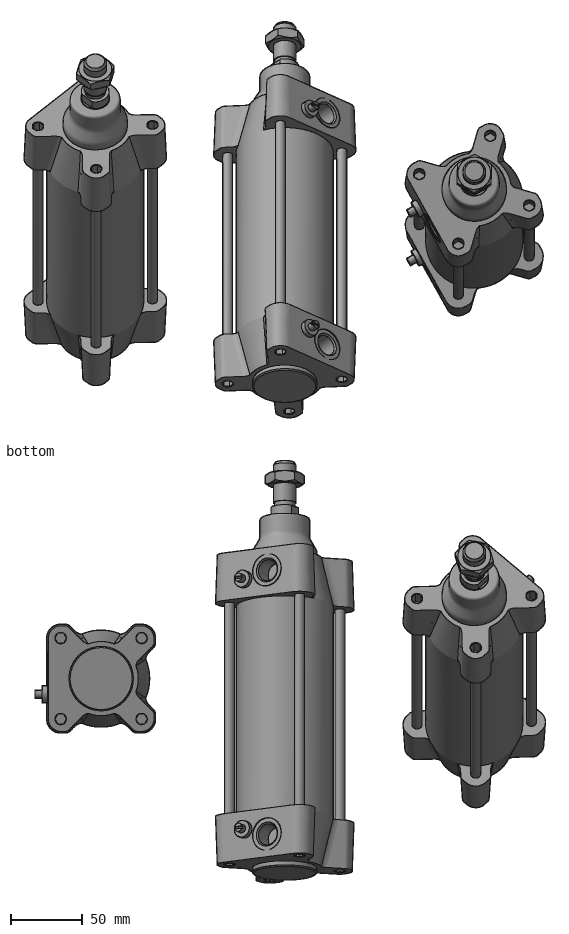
import cadquery as cq
import math

TOTAL_LENGTH = 294.0
TOTAL_DEPTH = 84.5

CAP_WIDTH = 76.0
CAP_HEIGHT = 34.5
CAP_DRAFT = 2.0
SPIGOT_HEIGHT = 3.8
SPIGOT_DIAMETER = 45.0
SPIGOT_CHAMFER = 1.0
HEAD_CAP_TOP = 225.2
TIE_ROD_PITCH = 56.5
TIE_ROD_DIAMETER = 7.0
SOCKET_FLATS = 7.0
SOCKET_DEPTH = 11.8
SOCKET_MOUTH_DIAMETER = 8.0
SOCKET_MOUTH_DEPTH = 0.5
BARREL_DIAMETER = 68.0

WALL_OFFSET = 15.0
BOSS_EDGE_RADIUS = 5.3
POCKET_ROOT = 19.0
POCKET_FLOOR_INNER = 31.2
POCKET_FLOOR_OUTER = 24.0
POCKET_FILLET = 7.4
CORE_RADIUS_OUTER = 26.0

PORT_Y = -7.0
PORT_HEIGHT = 18.2
PORT_DIAMETER = 15.0
PORT_MOUTH_DIAMETER = 17.0
PORT_DEPTH = 14.7
PORT_MOUTH_DEPTH = 1.2
SPOTFACE_DIAMETER = 23.0
SPOTFACE_X = -37.0
SCREW_Y = 11.0
SCREW_HEIGHT = 13.2
SCREW_DIAMETER = 6.0
SCREW_SLOT_WIDTH = 1.5
SCREW_SLOT_DEPTH = 1.5
FLANGE_DIAMETER = 12.0
FLANGE_X = -41.2

COLLAR_TOP = 230.5
BUSH_CONE_TOP = 239.3
BUSH_TOP = 254.0
BUSH_DIAMETER = 35.0
BUSH_BLEND_RADIUS = 5.0
BUSH_TOP_RADIUS = 1.8

ROD_DIAMETER = 20.0
ROD_END_DIAMETER = 19.5
ROD_FLATS = 16.8
ROD_FLATS_BOTTOM = 254.5
ROD_SHOULDER = 261.7
NECK_DIAMETER = 14.5
THREAD_START = 265.2
THREAD_DIAMETER = 16.0
TIP_DIAMETER = 13.2
TIP_CHAMFER_HEIGHT = 2.0

NUT_FLATS = 23.8
NUT_BOTTOM = 277.8
NUT_HEIGHT = 8.0
NUT_FACE_DIAMETER = 23.0
NUT_CHAMFER_ANGLE = 30.0

CAP_HALF = CAP_WIDTH / 2
SCREW_TIP_X = CAP_HALF - TOTAL_DEPTH
BOSS_CENTRE = TIE_ROD_PITCH / 2
BOSS_RADIUS = CAP_HALF - BOSS_CENTRE
REAR_CAP_INNER = SPIGOT_HEIGHT + CAP_HEIGHT
HEAD_CAP_INNER = HEAD_CAP_TOP - CAP_HEIGHT
BARREL_LENGTH = HEAD_CAP_INNER - REAR_CAP_INNER
COS_30 = math.cos(math.radians(30))
TIE_ROD_CENTRES = [(x, y) for x in (-BOSS_CENTRE, BOSS_CENTRE) for y in (-BOSS_CENTRE, BOSS_CENTRE)]


def disc(radius, z, height):
    """Cylinder on the Z axis."""
    return cq.Workplane("XY", origin=(0, 0, z)).circle(radius).extrude(height)


def side_disc(diameter, x, y, z, length):
    """Cylinder along +X starting at the given point."""
    return cq.Workplane("YZ", origin=(x, y, z)).circle(diameter / 2).extrude(length)


def cap_outline():
    """Inner face outline: four round bosses, 45 degree pockets on all sides but -X."""
    edge = CAP_HALF - WALL_OFFSET
    tangent = BOSS_EDGE_RADIUS * math.tan(math.radians(22.5))
    flat_end = edge + tangent
    wall_end = edge - tangent * math.sin(math.radians(45))
    wall_end_out = wall_end + WALL_OFFSET
    root = POCKET_ROOT - WALL_OFFSET

    def place(side, along, out):
        """Point on a side: side 0 faces -Y, and each next side is 90 degrees further."""
        turn = math.radians(90 * side)
        return (
            along * math.cos(turn) + out * math.sin(turn),
            along * math.sin(turn) - out * math.cos(turn),
        )

    outline = cq.Workplane("XY").moveTo(*place(0, -BOSS_CENTRE, CAP_HALF))
    for side in range(4):
        if side < 3:
            outline = (
                outline.lineTo(*place(side, -flat_end, CAP_HALF))
                .radiusArc(place(side, -wall_end, wall_end_out), -BOSS_EDGE_RADIUS)
                .lineTo(*place(side, -root, POCKET_ROOT))
                .lineTo(*place(side, root, POCKET_ROOT))
                .lineTo(*place(side, wall_end, wall_end_out))
                .radiusArc(place(side, flat_end, CAP_HALF), -BOSS_EDGE_RADIUS)
            )
        outline = outline.lineTo(*place(side, BOSS_CENTRE, CAP_HALF))
        outline = outline.radiusArc(place(side + 1, -BOSS_CENTRE, CAP_HALF), -BOSS_RADIUS)
    return outline.close()


def pocketed_block():
    """Drafted block with leaning flat pocket floors, filleted into the pocket walls."""
    floors = (
        cq.Workplane("XY")
        .rect(2 * POCKET_FLOOR_INNER, 2 * POCKET_FLOOR_INNER)
        .workplane(offset=CAP_HEIGHT)
        .rect(2 * POCKET_FLOOR_OUTER, 2 * POCKET_FLOOR_OUTER)
        .loft(ruled=True)
    )
    block = cap_outline().extrude(CAP_HEIGHT, taper=CAP_DRAFT).union(floors)

    wall_shift = CAP_HEIGHT * math.tan(math.radians(CAP_DRAFT)) / math.cos(math.radians(45))
    out = (POCKET_FLOOR_INNER + POCKET_FLOOR_OUTER) / 2
    along = out - WALL_OFFSET + wall_shift / 2
    corners = [(out, along), (out, -along), (along, out), (-along, out), (along, -out), (-along, -out)]
    corner_edges = [
        block.edges(cq.selectors.NearestToPointSelector((x, y, CAP_HEIGHT / 2))).val()
        for x, y in corners
    ]
    return block.newObject(corner_edges).fillet(POCKET_FILLET)


def cushion_screw():
    """Slotted screw with its sealing flange, pointing out of the -X side."""
    screw = side_disc(SCREW_DIAMETER, SCREW_TIP_X, SCREW_Y, SCREW_HEIGHT, -SCREW_TIP_X - BOSS_CENTRE)
    slot = cq.Workplane("XY").box(2 * SCREW_SLOT_DEPTH, SCREW_DIAMETER, SCREW_SLOT_WIDTH)
    slot = slot.translate((SCREW_TIP_X, SCREW_Y, SCREW_HEIGHT))
    flange = side_disc(FLANGE_DIAMETER, FLANGE_X, SCREW_Y, SCREW_HEIGHT, -FLANGE_X - BOSS_CENTRE)
    return screw.cut(slot).union(flange)


def hex_sockets():
    """Hexagon sockets in the outer face, each opened by a small countersink."""
    top = cq.Workplane("XY", origin=(0, 0, CAP_HEIGHT)).pushPoints(TIE_ROD_CENTRES)
    hexagons = top.polygon(6, SOCKET_FLATS / COS_30).extrude(-SOCKET_DEPTH)
    mouth = cq.Solid.makeCone(
        SOCKET_FLATS / 2,
        SOCKET_MOUTH_DIAMETER / 2,
        SOCKET_MOUTH_DEPTH,
        cq.Vector(0, 0, -SOCKET_MOUTH_DEPTH),
    )
    countersinks = top.eachpoint(mouth)
    return hexagons.union(countersinks)


def end_cap():
    """Cap with its inner face on Z = 0 and its outer face up."""
    core_cone = cq.Solid.makeCone(BARREL_DIAMETER / 2, CORE_RADIUS_OUTER, CAP_HEIGHT)
    cap = pocketed_block().union(cq.Workplane(core_cone))
    spotface = side_disc(SPOTFACE_DIAMETER, -CAP_HALF, PORT_Y, PORT_HEIGHT, SPOTFACE_X + CAP_HALF)
    mouth = cq.Solid.makeCone(
        PORT_MOUTH_DIAMETER / 2,
        PORT_DIAMETER / 2,
        PORT_MOUTH_DEPTH,
        cq.Vector(SPOTFACE_X, PORT_Y, PORT_HEIGHT),
        cq.Vector(1, 0, 0),
    )
    port = side_disc(PORT_DIAMETER, SPOTFACE_X, PORT_Y, PORT_HEIGHT, PORT_DEPTH)
    return cap.cut(hex_sockets()).union(cushion_screw()).cut(spotface).cut(cq.Workplane(mouth)).cut(port)


def rod_bush():
    """Collar, cone and bush around the rod, with the cone blended at both ends."""
    collar_radius = SPIGOT_DIAMETER / 2
    bush_radius = BUSH_DIAMETER / 2
    bush = (
        cq.Workplane("XZ")
        .polyline([
            (0, HEAD_CAP_TOP),
            (collar_radius, HEAD_CAP_TOP),
            (collar_radius, COLLAR_TOP),
            (bush_radius, BUSH_CONE_TOP),
            (bush_radius, BUSH_TOP),
            (0, BUSH_TOP),
        ])
        .close()
        .revolve(360, (0, 0, 0), (0, 1, 0))
    )
    cone_edges = cq.selectors.BoxSelector(
        (-collar_radius, -collar_radius, COLLAR_TOP - BUSH_TOP_RADIUS),
        (collar_radius, collar_radius, BUSH_CONE_TOP + BUSH_TOP_RADIUS),
    )
    bush = bush.edges("%CIRCLE").edges(cone_edges).fillet(BUSH_BLEND_RADIUS)
    return bush.faces(">Z").edges().fillet(BUSH_TOP_RADIUS)


def cylinder_housing():
    """Barrel, tie rods, both caps and the rod bush, bored for the piston rod."""
    cap = end_cap()
    head_cap = cap.translate((0, 0, HEAD_CAP_INNER))
    rear_cap = cap.mirror("XY").translate((0, 0, REAR_CAP_INNER))
    barrel = disc(BARREL_DIAMETER / 2, REAR_CAP_INNER, BARREL_LENGTH)
    tie_rods = (
        cq.Workplane("XY", origin=(0, 0, REAR_CAP_INNER))
        .pushPoints(TIE_ROD_CENTRES)
        .circle(TIE_ROD_DIAMETER / 2)
        .extrude(BARREL_LENGTH)
    )
    spigot = disc(SPIGOT_DIAMETER / 2, 0, SPIGOT_HEIGHT).faces("<Z").chamfer(SPIGOT_CHAMFER)
    rod_bore = disc(ROD_DIAMETER / 2, HEAD_CAP_INNER, TOTAL_LENGTH - HEAD_CAP_INNER)
    housing = barrel.union(head_cap).union(rear_cap).union(spigot).union(rod_bush())
    return housing.union(tie_rods).cut(rod_bore)


def piston_rod():
    """Rod with two wrench flats, an undercut neck and a chamfered thread."""
    rod_radius = ROD_DIAMETER / 2
    neck_radius = NECK_DIAMETER / 2
    thread_radius = THREAD_DIAMETER / 2
    end_radius = ROD_END_DIAMETER / 2
    rod = (
        cq.Workplane("XZ")
        .polyline([
            (0, HEAD_CAP_INNER),
            (rod_radius, HEAD_CAP_INNER),
            (rod_radius, ROD_FLATS_BOTTOM),
            (end_radius, ROD_FLATS_BOTTOM),
            (end_radius, ROD_SHOULDER),
            (neck_radius, ROD_SHOULDER),
            (neck_radius, THREAD_START),
            (thread_radius, THREAD_START),
            (thread_radius, TOTAL_LENGTH - TIP_CHAMFER_HEIGHT),
            (TIP_DIAMETER / 2, TOTAL_LENGTH),
            (0, TOTAL_LENGTH),
        ])
        .close()
        .revolve(360, (0, 0, 0), (0, 1, 0))
    )
    flats_height = ROD_SHOULDER - ROD_FLATS_BOTTOM
    keep = cq.Workplane("XY").box(ROD_DIAMETER, ROD_FLATS, flats_height, centered=(True, True, False))
    flats = disc(ROD_DIAMETER, 0, flats_height).cut(keep)
    return rod.cut(flats.translate((0, 0, ROD_FLATS_BOTTOM)))


def lock_nut():
    """Hexagon nut with flats facing +-Y and both faces chamfered to a circle."""
    corner_diameter = NUT_FLATS / COS_30
    face_radius = NUT_FACE_DIAMETER / 2
    cone_height = NUT_HEIGHT / 2
    waist_radius = face_radius + cone_height / math.tan(math.radians(NUT_CHAMFER_ANGLE))
    hexagon = cq.Workplane("XY").polygon(6, corner_diameter).extrude(NUT_HEIGHT)
    chamfer_cones = (
        cq.Workplane("XZ")
        .polyline([
            (0, 0),
            (face_radius, 0),
            (waist_radius, cone_height),
            (face_radius, NUT_HEIGHT),
            (0, NUT_HEIGHT),
        ])
        .close()
        .revolve(360, (0, 0, 0), (0, 1, 0))
    )
    nut = hexagon.intersect(chamfer_cones).cut(disc(THREAD_DIAMETER / 2, 0, NUT_HEIGHT))
    return nut.translate((0, 0, NUT_BOTTOM))


housing = cylinder_housing()
rod = piston_rod()
nut = lock_nut()
result = cq.Compound.makeCompound([housing.val(), rod.val(), nut.val()])